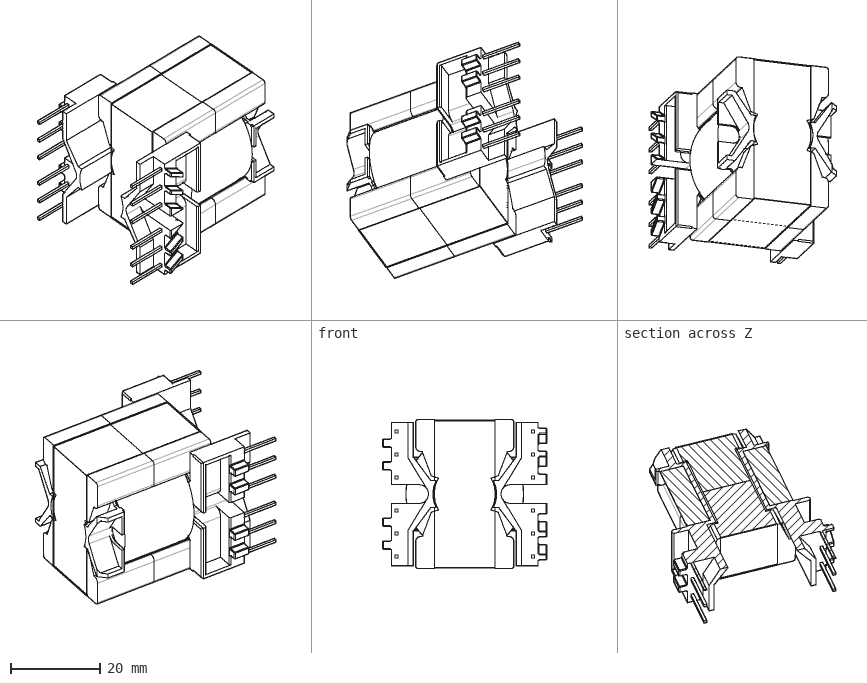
import cadquery as cq
import math


CORE_X = 11.05
CORE_HEIGHT = 33.5
CORE_Z = CORE_HEIGHT / 2
CORE_Y = 15.25
PLATE_INNER_Y = 10.5
POST_R = 6.85
LEG_BORE_R = 13.5
LEG_EDGE_X = 9.55
LEG_EDGE_Z = 9.5
WAIST_KINK = (7.5, 4.1)
WAIST_EDGE_Z = 3.55
LEG_TOP_R = 0.7
LEG_UNDER_R = 1.2

TAPE_X = 6.78
TAPE_T = 0.2
TAPE_SINK = 0.15

COIL_R = 13.25

FLANGE_Y = 9.3
FLANGE_T = 1.0
FLANGE_R = 13.3
EDGE_CHAMFER = 0.35
BORE_R = 7.1
TUBE_R = 8.0
LINER_X = 12.75
LINER_T = 1.25
LINER_BEND_OUT_Z = 8.1
LINER_BEND_IN_Z = 8.3
LINER_NOSE_X = 7.78
LINER_FOOT = (7.65, 3.05)
SLOT_R = 2.1

BLOCK_X = 16.45
BLOCK_Z = 16.1
BLOCK_END_Y = -20.65
LINER_END_Y = -24.7
POCKET_Y = (-16.75, -10.55)
POCKET_TOP_Z = 15.15
POCKET_CHAMFER = 0.35
POCKET_FLOOR_R = 1.8
PIN_X = 15.33
PIN_W = 0.7
PIN_END_Y = -29.7
PIN_PITCH = 5.15
PIN_FIRST_Z = 3.75
PINS_PER_BLOCK = 3
PIN_Z = [PIN_FIRST_Z + i * PIN_PITCH for i in range(PINS_PER_BLOCK)]

GUIDE_X = 18.45
GUIDE_REAR_Y = -16.75
GUIDE_FOOT = 0.2
GUIDE_CHAMFER = 0.2
STRAIGHT_GUIDE_W = 1.9
SLANTED_GUIDE_W = 1.35
SLANTED_GUIDE_DROP = 2.27
SLANTED_GUIDE_TOP = 0.85

TAB_X = 13.4
TAB_END_Y = 15.8
TAB_T = 1.1
TAB_CORNER = 1.8

LINER_INNER_X = LINER_X - LINER_T
LINER_SLANT = math.atan2(LINER_BEND_OUT_Z, LINER_X - LINER_NOSE_X)
SLOT_CENTRE_X = LINER_NOSE_X + SLOT_R / math.sin(LINER_SLANT)


def extrude_y(profile, y0, y1):
    """Move an XZ profile drawn at Y = 0 to y0 and extrude it to y1."""
    return profile.extrude(y0 - y1).translate((0, y0, 0))


def box(x, y, z):
    """Box from three (low, high) pairs."""
    size = [high - low for low, high in (x, y, z)]
    return cq.Workplane("XY").box(*size, centered=False).translate((x[0], y[0], z[0]))


def disc(radius, y0, y1):
    return extrude_y(cq.Workplane("XZ").circle(radius), y0, y1)


def both_x(body):
    return body.union(body.mirror("YZ"))


def both_z(body):
    return body.union(body.mirror("XY"))


def core_half():
    top_mid = CORE_Z - TAPE_SINK - TAPE_T
    waist_x = math.sqrt(POST_R**2 - WAIST_EDGE_Z**2)
    quarter_edge = [
        (0, top_mid), (TAPE_X, top_mid), (TAPE_X, CORE_Z), (CORE_X, CORE_Z),
        (CORE_X, LEG_EDGE_Z), (LEG_EDGE_X, LEG_EDGE_Z), WAIST_KINK, (waist_x, WAIST_EDGE_Z), (0, 0),
    ]
    quarter = extrude_y(cq.Workplane("XZ").polyline(quarter_edge).close(), 0, CORE_Y)
    quarter = quarter.faces(">X").edges("|Y").edges(">Z").fillet(LEG_TOP_R)
    quarter = quarter.faces(">X").edges("|Y").edges("<Z").fillet(LEG_UNDER_R)
    solid = both_z(both_x(quarter))
    solid = solid.cut(disc(LEG_BORE_R, 0, PLATE_INNER_Y))
    return solid.union(disc(POST_R, 0, CORE_Y))


def tape_band():
    outer_z = CORE_Z - TAPE_SINK
    outer_y = CORE_Y + TAPE_T
    outer = cq.Workplane("XY").box(2 * TAPE_X, 2 * outer_y, 2 * outer_z)
    inner = cq.Workplane("XY").box(2 * TAPE_X, 2 * CORE_Y, 2 * (outer_z - TAPE_T))
    return outer.cut(inner)


def winding():
    return disc(COIL_R, -FLANGE_Y, FLANGE_Y).cut(disc(TUBE_R, -FLANGE_Y, FLANGE_Y))


def liner(top_z, y0, y1):
    """V-shaped wall on the +X side that lines the core waist, cut off at +-top_z."""
    foot_x, foot_z = LINER_FOOT
    touch_z = SLOT_R * math.cos(LINER_SLANT)
    touch_x = LINER_NOSE_X + touch_z / math.tan(LINER_SLANT)
    tip_x = math.sqrt(BORE_R**2 - foot_z**2)
    profile = (
        cq.Workplane("XZ")
        .moveTo(LINER_INNER_X, BLOCK_Z)
        .lineTo(LINER_X, BLOCK_Z)
        .lineTo(LINER_X, LINER_BEND_OUT_Z)
        .lineTo(touch_x, touch_z)
        .lineTo(touch_x, -touch_z)
        .lineTo(LINER_X, -LINER_BEND_OUT_Z)
        .lineTo(LINER_X, -BLOCK_Z)
        .lineTo(LINER_INNER_X, -BLOCK_Z)
        .lineTo(LINER_INNER_X, -LINER_BEND_IN_Z)
        .lineTo(foot_x, -foot_z)
        .lineTo(tip_x, -foot_z)
        .threePointArc((BORE_R, 0), (tip_x, foot_z))
        .lineTo(foot_x, foot_z)
        .lineTo(LINER_INNER_X, LINER_BEND_IN_Z)
        .close()
    )
    return extrude_y(profile, y0, y1).intersect(box((0, LINER_X), (y0, y1), (-top_z, top_z)))


def slot(y0, y1):
    """Round-ended gap between the upper and lower half of the +X side."""
    straight = box((SLOT_CENTRE_X, GUIDE_X), (y0, y1), (-SLOT_R, SLOT_R))
    return straight.union(disc(SLOT_R, y0, y1).translate((SLOT_CENTRE_X, 0, 0)))


def slot_mouth():
    """Flared edge of the +X slot on the winding side of the plain-end flange."""
    centre = cq.Plane(origin=(SLOT_CENTRE_X, FLANGE_Y, 0), xDir=(1, 0, 0), normal=(0, 1, 0))
    length = 2 * (GUIDE_X - SLOT_CENTRE_X + SLOT_R)
    profile = cq.Workplane(centre).center(length / 2 - SLOT_R, 0).slot2D(length, 2 * SLOT_R)
    return profile.offset2D(EDGE_CHAMFER).extrude(EDGE_CHAMFER, taper=45)


def pocket():
    """Upper +X recess of the terminal block, open outwards and into the slot."""
    y0, y1 = POCKET_Y
    hollow = box((LINER_X, BLOCK_X), POCKET_Y, (0, POCKET_TOP_Z))
    mouth_edge = [
        (BLOCK_X - POCKET_CHAMFER, y0), (BLOCK_X, y0 - POCKET_CHAMFER),
        (BLOCK_X, y1 + POCKET_CHAMFER), (BLOCK_X - POCKET_CHAMFER, y1),
    ]
    mouth = cq.Workplane("XY").polyline(mouth_edge).close().extrude(POCKET_TOP_Z)
    r = POCKET_FLOOR_R
    corner = box((LINER_X - r, LINER_X), POCKET_Y, (SLOT_R, SLOT_R + r))
    corner = corner.cut(disc(r, y0, y1).translate((LINER_X - r, 0, SLOT_R + r)))
    return hollow.union(mouth).union(corner)


def terminal_block():
    """Upper +X terminal block with its flange wall, pocket and pins."""
    foot_x, foot_z = LINER_FOOT
    outline = [
        (BLOCK_X, BLOCK_Z), (LINER_INNER_X, BLOCK_Z), (LINER_INNER_X, LINER_BEND_IN_Z),
        (foot_x, foot_z), (foot_x, 0), (BLOCK_X, 0),
    ]
    block = extrude_y(cq.Workplane("XZ").polyline(outline).close(), BLOCK_END_Y, -FLANGE_Y)
    block = block.faces(">Y").edges(">X or >Z").chamfer(EDGE_CHAMFER)
    block = block.cut(pocket())
    for z in PIN_Z:
        pin = box(
            (PIN_X - PIN_W / 2, PIN_X + PIN_W / 2), (PIN_END_Y, BLOCK_END_Y), (z - PIN_W / 2, z + PIN_W / 2)
        )
        block = block.union(pin)
    return block


def plain_end():
    """Upper +X part of the plain-end flange, with its tab along the liner."""
    flange_y = (FLANGE_Y, FLANGE_Y + FLANGE_T)
    wall = box((LINER_FOOT[0], TAB_X), flange_y, (0, LINER_BEND_IN_Z))
    wall = wall.faces("<Y").edges(">X or >Z").chamfer(EDGE_CHAMFER)
    tab_z = (LINER_BEND_IN_Z - TAB_T, LINER_BEND_IN_Z)
    return wall.union(box((LINER_INNER_X, TAB_X), (flange_y[1], TAB_END_Y), tab_z))


def wire_guide(low_z, high_z, drop=0.0):
    """Guide on the +X block face; low_z and high_z apply at its front end, it falls by drop to its rear."""
    foot_x = BLOCK_X + GUIDE_FOOT
    profile = [
        (BLOCK_X, low_z - GUIDE_FOOT), (foot_x, low_z), (GUIDE_X, low_z),
        (GUIDE_X, high_z), (foot_x, high_z), (BLOCK_X, high_z + GUIDE_FOOT),
    ]
    corners = [cq.Vector(x, BLOCK_END_Y, z) for x, z in profile]
    sweep = cq.Vector(0, GUIDE_REAR_Y - BLOCK_END_Y, -drop)
    prism = cq.Solid.extrudeLinear(cq.Wire.makePolygon(corners, close=True), [], sweep)
    beyond_foot = cq.selectors.BoxSelector(
        (foot_x + GUIDE_CHAMFER, LINER_END_Y, -BLOCK_Z), (2 * GUIDE_X, -FLANGE_Y, BLOCK_Z)
    )
    return cq.Workplane(prism).edges(beyond_foot).chamfer(GUIDE_CHAMFER)


def coil_former():
    flange_back = FLANGE_Y + FLANGE_T
    flange = disc(FLANGE_R, FLANGE_Y, flange_back).faces("<Y").chamfer(EDGE_CHAMFER)
    tube = disc(TUBE_R, -FLANGE_Y, FLANGE_Y).union(flange).union(flange.mirror("XZ"))
    body = tube.union(both_z(both_x(terminal_block().union(plain_end()))))
    mouth = slot_mouth()
    body = body.cut(both_x(mouth.union(mouth.mirror("XZ"))))
    liners = liner(BLOCK_Z, LINER_END_Y, -FLANGE_Y).union(liner(LINER_BEND_IN_Z, FLANGE_Y, TAB_END_Y))
    slots = slot(LINER_END_Y, -FLANGE_Y).union(slot(FLANGE_Y, TAB_END_Y))
    body = body.union(both_x(liners)).cut(both_x(slots))
    body = body.cut(disc(BORE_R, LINER_END_Y, TAB_END_Y))

    for lower_z, upper_z in zip(PIN_Z, PIN_Z[1:]):
        middle = (lower_z + upper_z) / 2
        guide = wire_guide(middle - STRAIGHT_GUIDE_W / 2, middle + STRAIGHT_GUIDE_W / 2)
        body = body.union(both_z(guide.mirror("YZ")))
    upper_space = box((BLOCK_X, GUIDE_X), (BLOCK_END_Y, GUIDE_REAR_Y), (SLOT_R, BLOCK_Z))
    for z in PIN_Z:
        high_z = z + SLANTED_GUIDE_TOP
        low_z = 0 if z == PIN_Z[0] else high_z - SLANTED_GUIDE_W
        guide = wire_guide(low_z, high_z, SLANTED_GUIDE_DROP)
        body = body.union(both_z(guide.intersect(upper_space)))

    tab_corner = [(-TAB_X, TAB_END_Y), (-TAB_X + TAB_CORNER, TAB_END_Y), (-TAB_X, TAB_END_Y - TAB_CORNER)]
    cutter = cq.Workplane("XY").polyline(tab_corner).close().extrude(LINER_BEND_IN_Z, both=True)
    return body.cut(cutter)


front_core = core_half().mirror("XZ")
rear_core = core_half()
coil = winding()
former = coil_former()
tape = tape_band().cut(former)

result = cq.Compound.makeCompound(
    [front_core.val(), rear_core.val(), tape.val(), coil.val(), former.val()]
)